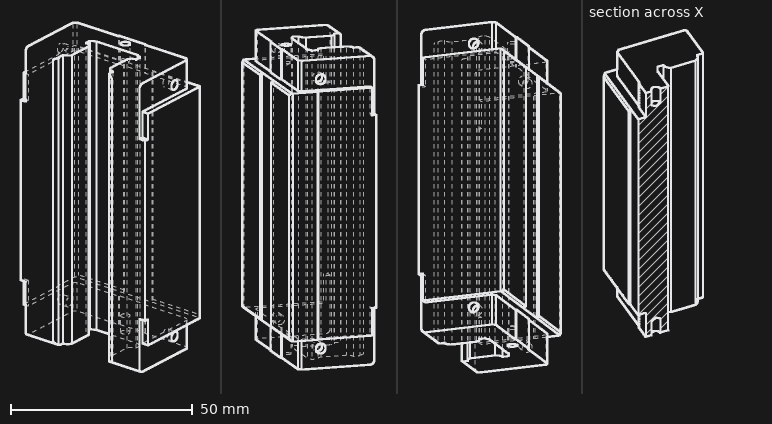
import cadquery as cq
import math

WIDTH = 44.0
HEIGHT = 25.0
LENGTH = 87.2
MOUNT_Y = HEIGHT / 2
BASE_Y = -HEIGHT / 2

BODY_LENGTH = 70.0
BODY_SIDE_CHAMFER = 0.8
BODY_END_CHAMFER = 0.6
MOUNT_GROOVE_WIDTH = 10.0
MOUNT_GROOVE_DEPTH = 0.6
REFERENCE_EDGE_HEIGHT = 8.0
REFERENCE_STEP = 0.3
REFERENCE_STEP_RISE = 0.3
NOTCH_HEIGHT = 1.25
NOTCH_LENGTH = 7.8

CAP_WIDTH = 40.0
CAP_TOP_Y = MOUNT_Y - 3.2
CAP_CORNER_CHAMFER = 0.8
CAP_END_RADIUS = 1.3
CAP_PAD_WIDTH = 9.2
CAP_PAD_HEIGHT = 0.3

CEILING_Y = MOUNT_Y - 9.8
CEILING_CHAMFER_WIDTH = 1.6
CEILING_CHAMFER_HEIGHT = 0.75
CHANNEL_HALF_WIDTH = 8.8
LIP_HALF_WIDTH = 6.8
LIP_TOP_Y = MOUNT_Y - 12.35
LIP_BOTTOM_Y = MOUNT_Y - 22.6
LIP_EDGE_RADIUS = 2.1
MOUTH_CHAMFER_WIDTH = 1.55
MOUTH_CHAMFER_HEIGHT = 0.55

END_HOLE_DIAMETER = 2.6
END_HOLE_Y = MOUNT_Y - 6.0
END_HOLE_DEPTH = 5.0
DRILL_POINT_ANGLE = 118.0
SIDE_HOLE_DIAMETER = 2.8
SIDE_HOLE_Y = MOUNT_Y - 9.5
SIDE_HOLE_END_DISTANCE = 5.6
SIDE_HOLE_DEPTH = 3.0


def centred_box(width, y_low, y_high, length):
    """Box centred on X and Z that spans y_low to y_high."""
    return cq.Workplane("XY").box(width, y_high - y_low, length).translate((0, (y_low + y_high) / 2, 0))


def make_body():
    body = centred_box(WIDTH, BASE_Y, MOUNT_Y, BODY_LENGTH)
    body = body.faces(">Y").edges("|Z").chamfer(BODY_SIDE_CHAMFER)
    body = body.faces(">Y").edges("|X").chamfer(BODY_END_CHAMFER)

    groove = centred_box(MOUNT_GROOVE_WIDTH, MOUNT_Y - MOUNT_GROOVE_DEPTH, MOUNT_Y, BODY_LENGTH)

    left = -WIDTH / 2
    edge_y = MOUNT_Y - REFERENCE_EDGE_HEIGHT
    relief = (
        cq.Workplane("XY", origin=(0, 0, -BODY_LENGTH / 2))
        .moveTo(left, edge_y)
        .lineTo(left + REFERENCE_STEP, edge_y - REFERENCE_STEP_RISE)
        .lineTo(left + REFERENCE_STEP, BASE_Y)
        .lineTo(left, BASE_Y)
        .close()
        .extrude(BODY_LENGTH)
    )
    return body.cut(groove).cut(relief).cut(make_corner_notches())


def make_corner_notches():
    """Cutters for the four body corners beside the base, as wide as the body overhangs the caps."""
    overhang = (WIDTH - CAP_WIDTH) / 2
    x = (WIDTH - overhang) / 2
    y = BASE_Y + NOTCH_HEIGHT / 2
    z = (BODY_LENGTH - NOTCH_LENGTH) / 2
    notches = cq.Workplane("XY")
    for side in (-1, 1):
        for end in (-1, 1):
            notch = cq.Workplane("XY").box(overhang, NOTCH_HEIGHT, NOTCH_LENGTH)
            notches = notches.add(notch.translate((side * x, y, end * z)))
    return notches.combine()


def make_caps():
    """Both end caps as one bar that runs through the body."""
    caps = centred_box(CAP_WIDTH, BASE_Y, CAP_TOP_Y, LENGTH)
    caps = caps.faces(">Y").edges("|Z").chamfer(CAP_CORNER_CHAMFER)
    caps = caps.faces("<Y").edges("|X").fillet(CAP_END_RADIUS)
    return caps.union(centred_box(CAP_PAD_WIDTH, CAP_TOP_Y, CAP_TOP_Y + CAP_PAD_HEIGHT, LENGTH))


def make_channel():
    """Cutter for the rail channel: one half outline, mirrored about the YZ plane."""
    edge_width = CHANNEL_HALF_WIDTH - LIP_HALF_WIDTH
    edge_height = LIP_EDGE_RADIUS - math.sqrt(LIP_EDGE_RADIUS**2 - edge_width**2)
    lip_wall_top = (LIP_HALF_WIDTH, LIP_TOP_Y - edge_height)
    lip_wall_bottom = (LIP_HALF_WIDTH, LIP_BOTTOM_Y + edge_height)
    lip_foot = (CHANNEL_HALF_WIDTH, LIP_BOTTOM_Y)
    half = (
        cq.Workplane("XY", origin=(0, 0, -LENGTH / 2))
        .moveTo(0, CEILING_Y)
        .lineTo(CHANNEL_HALF_WIDTH - CEILING_CHAMFER_WIDTH, CEILING_Y)
        .lineTo(CHANNEL_HALF_WIDTH, CEILING_Y - CEILING_CHAMFER_HEIGHT)
        .lineTo(CHANNEL_HALF_WIDTH, LIP_TOP_Y)
        .radiusArc(lip_wall_top, -LIP_EDGE_RADIUS)
        .lineTo(*lip_wall_bottom)
        .radiusArc(lip_foot, -LIP_EDGE_RADIUS)
        .lineTo(CHANNEL_HALF_WIDTH, BASE_Y + MOUTH_CHAMFER_HEIGHT)
        .lineTo(CHANNEL_HALF_WIDTH + MOUTH_CHAMFER_WIDTH, BASE_Y)
        .lineTo(0, BASE_Y)
        .close()
        .extrude(LENGTH)
    )
    return half.union(half.mirror("YZ"))


def make_end_hole():
    """Cutter for the drilled hole in the +Z end face, with its conical bottom."""
    radius = END_HOLE_DIAMETER / 2
    point_depth = radius / math.tan(math.radians(DRILL_POINT_ANGLE / 2))
    hole = (
        cq.Workplane("XZ")
        .moveTo(0, 0)
        .lineTo(radius, 0)
        .lineTo(radius, -END_HOLE_DEPTH)
        .lineTo(0, -END_HOLE_DEPTH - point_depth)
        .close()
        .revolve(360, (0, 0, 0), (0, 1, 0))
    )
    return hole.translate((0, END_HOLE_Y, LENGTH / 2))


def make_side_hole():
    """Cutter for the flat-bottomed hole in the -X side of the +Z cap."""
    origin = (-CAP_WIDTH / 2, SIDE_HOLE_Y, LENGTH / 2 - SIDE_HOLE_END_DISTANCE)
    return cq.Workplane("YZ", origin=origin).circle(SIDE_HOLE_DIAMETER / 2).extrude(SIDE_HOLE_DEPTH)


def make_cap_holes():
    """Cutters for all cap holes: both sides of both caps and both end faces."""
    side_hole = make_side_hole()
    holes = make_end_hole().union(side_hole).union(side_hole.mirror("YZ"))
    return holes.union(holes.mirror("XY"))


carriage = make_body().union(make_caps())
result = carriage.cut(make_channel()).cut(make_cap_holes())